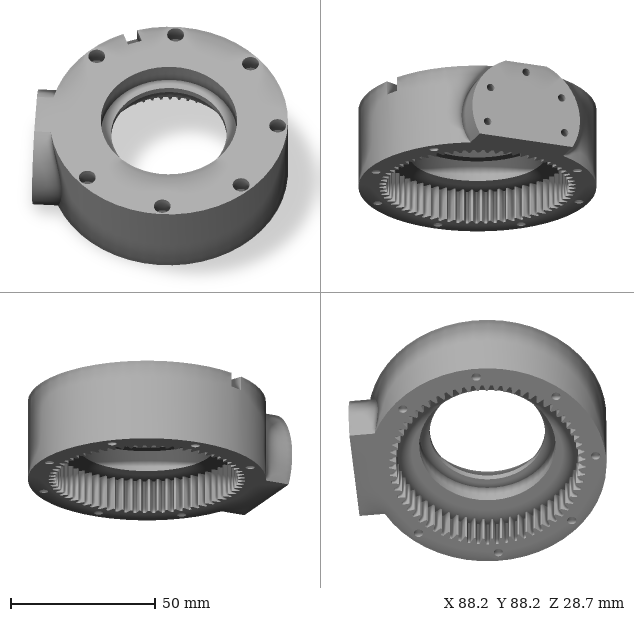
import cadquery as cq
import math

BODY_RADIUS = 41.3
BODY_HEIGHT = 28.7

LIP_RADIUS = 20.0
LIP_THICKNESS = 2.3
SEAT_RADIUS = 23.6
SEAT_DEPTH = 7.3
GEAR_HEIGHT = BODY_HEIGHT - 2 * SEAT_DEPTH - LIP_THICKNESS

TOOTH_COUNT = 65
TOOTH_TIP_RADIUS = 31.7
TOOTH_ROOT_RADIUS = 34.0
TIP_WIDTH_FRACTION = 0.2
BASE_WIDTH_FRACTION = 0.75
FIRST_TOOTH_ANGLE = 43.6

BOLT_POSITIONS = 8
BOLT_CIRCLE_RADIUS = 37.7
BOLT_DIAMETER = 3.2
BOLT_HEAD_DIAMETER = 5.8
BOLT_HEAD_DEPTH = 6.0

BOSS_ANGLE = 225
BOSS_RADIUS = 20.0
BOSS_FACE_DISTANCE = 46.3
BOSS_AXIS_HEIGHT = 10.1
SCREW_CIRCLE_RADIUS = 15.25
SCREW_ANGLES = (-20, 30, 90, 150, 200)
SCREW_DIAMETER = 2.7
SCREW_DEPTH = 10.0

NOTCH_ANGLE = 157.5
NOTCH_WIDTH = 5.0
NOTCH_FLOOR_DISTANCE = 36.2
NOTCH_DEPTH = 5.0


def polar(radius, degrees):
    angle = math.radians(degrees)
    return (radius * math.cos(angle), radius * math.sin(angle))


def disc(radius, bottom, height):
    return cq.Workplane("XY").workplane(offset=bottom).circle(radius).extrude(height)


def boss_face_plane(distance):
    """Plane square to the boss axis, facing outward, with its local Y pointing up."""
    outward = polar(1, BOSS_ANGLE)
    origin = (distance * outward[0], distance * outward[1], BOSS_AXIS_HEIGHT)
    level = (-outward[1], outward[0], 0)
    return cq.Plane(origin=origin, xDir=level, normal=(outward[0], outward[1], 0))


def make_body():
    """Housing disc joined to the boss, which is trimmed flush with both end faces."""
    boss = cq.Workplane(boss_face_plane(0)).circle(BOSS_RADIUS).extrude(BOSS_FACE_DISTANCE)
    boss = boss.intersect(disc(2 * BODY_RADIUS, 0, BODY_HEIGHT))
    return disc(BODY_RADIUS, 0, BODY_HEIGHT).union(boss)


def make_bore():
    lip_bottom = GEAR_HEIGHT + SEAT_DEPTH
    lower_seat = disc(SEAT_RADIUS, 0, lip_bottom)
    upper_seat = disc(SEAT_RADIUS, lip_bottom + LIP_THICKNESS, SEAT_DEPTH)
    return disc(LIP_RADIUS, 0, BODY_HEIGHT).union(lower_seat).union(upper_seat)


def make_gear_cavity():
    """Cavity whose outline follows straight-sided teeth pointing inward."""
    pitch = 360 / TOOTH_COUNT
    half_tip = pitch * TIP_WIDTH_FRACTION / 2
    half_base = pitch * BASE_WIDTH_FRACTION / 2
    outline = []
    for tooth in range(TOOTH_COUNT):
        center = FIRST_TOOTH_ANGLE + tooth * pitch
        outline.append(polar(TOOTH_ROOT_RADIUS, center - half_base))
        outline.append(polar(TOOTH_TIP_RADIUS, center - half_tip))
        outline.append(polar(TOOTH_TIP_RADIUS, center + half_tip))
        outline.append(polar(TOOTH_ROOT_RADIUS, center + half_base))
    return cq.Workplane("XY").polyline(outline).close().extrude(GEAR_HEIGHT)


def make_bolt_holes():
    angles = [position * 360 / BOLT_POSITIONS for position in range(BOLT_POSITIONS)]
    centers = [polar(BOLT_CIRCLE_RADIUS, angle) for angle in angles if angle != BOSS_ANGLE]
    top = cq.Workplane("XY").workplane(offset=BODY_HEIGHT).pushPoints(centers)
    heads = top.circle(BOLT_HEAD_DIAMETER / 2).extrude(-BOLT_HEAD_DEPTH)
    shanks = top.circle(BOLT_DIAMETER / 2).extrude(-BODY_HEIGHT)
    return heads.union(shanks)


def make_screw_holes():
    """Blind holes around the boss face."""
    centers = [polar(SCREW_CIRCLE_RADIUS, angle) for angle in SCREW_ANGLES]
    face = cq.Workplane(boss_face_plane(BOSS_FACE_DISTANCE)).pushPoints(centers)
    return face.circle(SCREW_DIAMETER / 2).extrude(-SCREW_DEPTH)


def make_notch():
    notch = cq.Workplane("XY").box(BODY_RADIUS, NOTCH_WIDTH, NOTCH_DEPTH, centered=(False, True, False))
    notch = notch.translate((NOTCH_FLOOR_DISTANCE, 0, BODY_HEIGHT - NOTCH_DEPTH))
    return notch.rotate((0, 0, 0), (0, 0, 1), NOTCH_ANGLE)


result = make_body()
for cutter in (make_bore(), make_gear_cavity(), make_bolt_holes(), make_screw_holes(), make_notch()):
    result = result.cut(cutter)